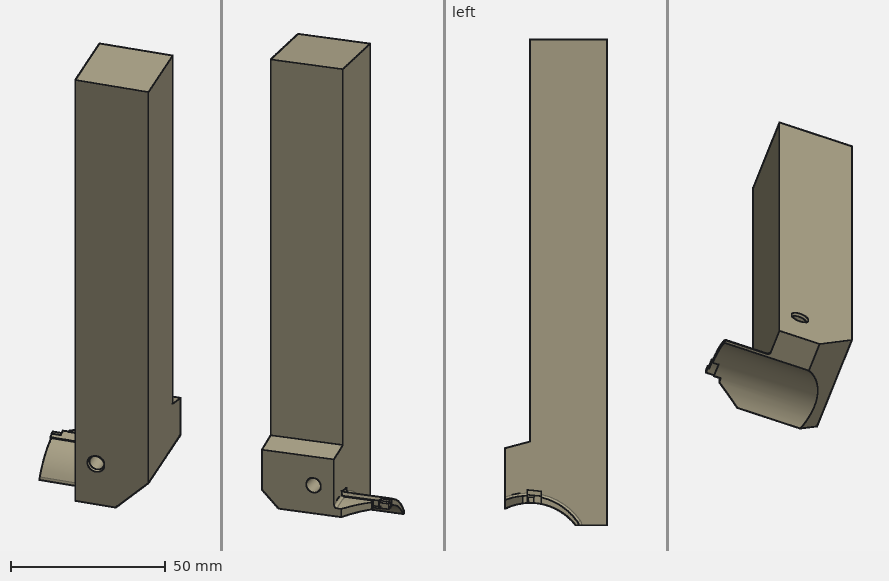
import cadquery as cq
import math


shank_side = 25.0
shank_height = 156.9
corner_chamfer = 11.1
foot_depth = 33.0
foot_edge_height = 25.0
foot_slope = 15.0
foot_root_height = foot_edge_height + (foot_depth - shank_side) * math.tan(math.radians(foot_slope))

under_radius = 18.5
under_center_y = 24.8
under_center_z = -11.3

blade_length = 15.2
blade_radius = 19.8
blade_center_y = 25.7
blade_center_z = -10.2
blade_nose_radius = 1.9
blade_root_fillet = 1.0
blade_nose_center_y = blade_center_y - math.sqrt((blade_radius - blade_nose_radius) ** 2 - blade_center_z**2)
blade_end_y = blade_nose_center_y - blade_nose_radius
relief_root_length = 2.5
relief_tip_length = 10.8
relief_tip_y = 27.1

hole_x = 7.0
hole_z = 15.0
hole_diameter = 5.0
hole_mouth_diameter = 5.8
hole_mouth_depth = 1.0

insert_front_y = 21.2
insert_back_y = 25.7
insert_front_top = 9.4
insert_back_top = 9.9
insert_length = 15.5
insert_seat_z = 7.8
head_length = 2.8
nose_reach = 16.0
nose_front_y = 23.7
nose_back_y = 25.4
nose_length = 3.3
nose_drop = 0.3
nose_flank_width = 0.8
pocket_depth = 3.1
pocket_headroom = 1.5


def x_prism(points, x_start, x_end):
    """Prism along X from an outline of (Y, Z) points."""
    return cq.Workplane("YZ", origin=(x_start, 0, 0)).polyline(points).close().extrude(x_end - x_start)


def make_under_cut():
    """Cylinder that hollows the underside of the foot, the blade and the insert."""
    return (
        cq.Workplane("YZ", origin=(-nose_reach, under_center_y, under_center_z))
        .circle(under_radius)
        .extrude(nose_reach + shank_side)
    )


def make_shank():
    """Square shank with its foot widened toward +Y under a sloping shoulder."""
    outline = [
        (0, 0),
        (foot_depth, 0),
        (foot_depth, foot_edge_height),
        (shank_side, foot_root_height),
        (shank_side, shank_height),
        (0, shank_height),
    ]
    return x_prism(outline, 0, shank_side)


def make_blade():
    """Arc-topped blade along -X, cut back obliquely on its +Y side."""
    rise = -blade_center_z
    run = blade_center_y - blade_nose_center_y
    tangent_scale = blade_radius / (blade_radius - blade_nose_radius)
    tangent_point = (blade_center_y - run * tangent_scale, blade_center_z + rise * tangent_scale)
    top_point = (blade_center_y, blade_center_z + blade_radius)
    edge_z = blade_center_z + math.sqrt(blade_radius**2 - (foot_depth - blade_center_y) ** 2)
    profile = (
        cq.Workplane("YZ")
        .moveTo(blade_end_y, 0)
        .radiusArc(tangent_point, blade_nose_radius)
        .threePointArc(top_point, (foot_depth, edge_z))
        .lineTo(foot_depth, 0)
        .close()
        .extrude(-blade_length)
    )
    plan = (
        cq.Workplane("XY")
        .polyline([
            (0, 0),
            (0, foot_depth),
            (-relief_root_length, foot_depth),
            (-relief_tip_length, relief_tip_y),
            (-relief_tip_length, insert_back_y),
            (-blade_length, insert_back_y),
            (-blade_length, 0),
        ])
        .close()
        .extrude(shank_height)
    )
    return profile.intersect(plan)


def fillet_blade_root(body):
    """Round the corner where the outer side of the blade meets the shank."""
    selection_margin = 0.2
    root_edges = cq.selectors.BoxSelector(
        (-selection_margin, blade_end_y, 0),
        (selection_margin, foot_depth, blade_center_z + blade_radius),
    )
    return body.edges(root_edges).edges("%CIRCLE").fillet(blade_root_fillet)


def make_screw_hole():
    """Through bore along Y with a tapered mouth on the -Y face."""
    half_section = [
        (0, 0),
        (hole_mouth_diameter / 2, 0),
        (hole_diameter / 2, hole_mouth_depth),
        (hole_diameter / 2, foot_depth),
        (0, foot_depth),
    ]
    bore = cq.Workplane("XY").polyline(half_section).close().revolve(360, (0, 0), (0, 1))
    return bore.translate((hole_x, 0, hole_z))


def make_foot_corner():
    """Wedge removed from the lower +X corner."""
    outline = [
        (shank_side - corner_chamfer, 0),
        (shank_side, 0),
        (shank_side, corner_chamfer),
    ]
    return cq.Workplane("XZ").polyline(outline).close().extrude(-foot_depth)


def insert_outline(bottom, headroom=0.0):
    """(Y, Z) section of the insert from a given bottom; headroom raises its sloping top."""
    return [
        (insert_front_y, bottom),
        (insert_back_y, bottom),
        (insert_back_y, insert_back_top + headroom),
        (insert_front_y, insert_front_top + headroom),
    ]


def make_insert_blank():
    """Insert bar on its seat, with the full-height head at the tip."""
    bar = x_prism(insert_outline(insert_seat_z), -nose_reach, pocket_depth)
    head = x_prism(insert_outline(0), -nose_reach, -nose_reach + head_length)
    return bar.union(head)


def make_holder():
    """Shank and blade in one piece, with everything removed that the holder needs open."""
    body = fillet_blade_root(make_shank().union(make_blade()))
    insert_slot = x_prism(insert_outline(insert_seat_z, pocket_headroom), -blade_length, pocket_depth)
    for removed in (
        make_under_cut(),
        make_screw_hole(),
        make_foot_corner(),
        insert_slot,
        make_insert_blank(),
    ):
        body = body.cut(removed)
    return body


def make_insert():
    """Insert with a narrow nose that reaches past its shoulder and steps down from the top."""
    nose_z = insert_front_top - nose_drop
    nose_end_x = -nose_reach + nose_length
    shoulder = (
        cq.Workplane("XY")
        .box(nose_reach - insert_length, nose_front_y, shank_height, centered=False)
        .translate((-nose_reach, 0, 0))
    )
    side_clearance = (
        cq.Workplane("XY")
        .box(nose_length, foot_depth - nose_back_y, shank_height, centered=False)
        .translate((-nose_reach, nose_back_y, 0))
    )
    nose_top = [
        (nose_front_y, nose_z),
        (insert_back_y, nose_z),
        (insert_back_y, insert_back_top),
        (nose_front_y - nose_flank_width, insert_back_top),
    ]
    nose_step = x_prism(nose_top, -nose_reach, nose_end_x)
    blank = make_insert_blank().cut(make_under_cut())
    return blank.cut(shoulder).cut(side_clearance).cut(nose_step)


holder = make_holder()
insert = make_insert()
result = cq.Compound.makeCompound([holder.val(), insert.val()])